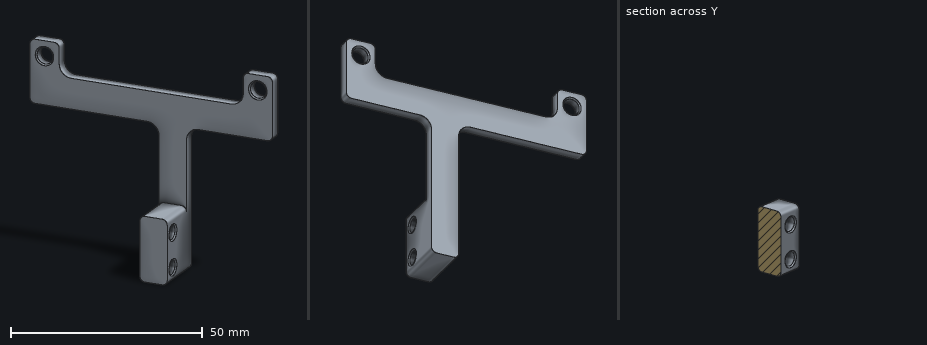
import cadquery as cq

plate_width = 70.0
overall_depth = 14.85
overall_height = 57.78

plate_thickness = 3.175
ear_width = 8.5
ear_height = 9.22
crossbar_height = 8.6
stem_width = 7.95
stem_offset = 6.2

block_height = 18.25

outer_radius = 1.5
inner_radius = 3.45

ear_hole_diameter = 4.57
ear_hole_inset = ear_width / 2
block_hole_diameter = 3.91
block_hole_spacing = 9.65
block_hole_inset = 3.5
lower_block_hole_height = 4.0
hole_chamfer = 0.38

half_width = plate_width / 2
plate_front_y = -plate_thickness
block_front_y = -overall_depth
notch_z = overall_height - ear_height
crossbar_bottom_z = notch_z - crossbar_height
stem_left_x = stem_offset - stem_width / 2
stem_right_x = stem_offset + stem_width / 2
notch_half_width = half_width - ear_width


def round_corners(body, corners, radius):
    """Round the edges parallel to Y at the given (x, z) corners."""
    reach = 0.01
    for x, z in corners:
        selector = cq.selectors.BoxSelector(
            (x - reach, -overall_depth, z - reach),
            (x + reach, overall_depth, z + reach),
        )
        body = body.edges("|Y").edges(selector).fillet(radius)
    return body


def make_plate():
    """T-shaped plate with rounded outer corners and larger inner fillets."""
    ear_outer_corners = [(-half_width, overall_height), (half_width, overall_height)]
    ear_inner_corners = [(-notch_half_width, overall_height), (notch_half_width, overall_height)]
    notch_corners = [(-notch_half_width, notch_z), (notch_half_width, notch_z)]
    bar_corners = [(-half_width, crossbar_bottom_z), (half_width, crossbar_bottom_z)]
    stem_roots = [(stem_left_x, crossbar_bottom_z), (stem_right_x, crossbar_bottom_z)]
    stem_ends = [(stem_left_x, 0), (stem_right_x, 0)]

    left_side = [
        ear_inner_corners[0],
        ear_outer_corners[0],
        bar_corners[0],
        stem_roots[0],
        stem_ends[0],
    ]
    right_side = [
        stem_ends[1],
        stem_roots[1],
        bar_corners[1],
        ear_outer_corners[1],
        ear_inner_corners[1],
    ]
    outline = [notch_corners[0]] + left_side + right_side + [notch_corners[1]]
    plate = cq.Workplane("XZ").polyline(outline).close().extrude(plate_thickness)

    outer_corners = ear_outer_corners + ear_inner_corners + bar_corners + stem_ends
    plate = round_corners(plate, outer_corners, outer_radius)
    return round_corners(plate, notch_corners + stem_roots, inner_radius)


def make_block():
    """Round-cornered block running from the plate's back face to the full depth."""
    return (
        cq.Workplane("XZ")
        .center(stem_offset, block_height / 2)
        .rect(stem_width, block_height)
        .extrude(overall_depth)
        .edges("|Y")
        .fillet(outer_radius)
    )


def make_hole(diameter, length, entry, direction):
    """Cutter for a through hole with a conical chamfer at both ends."""
    radius = diameter / 2
    mouth_radius = radius + hole_chamfer
    start = cq.Vector(*entry)
    axis = cq.Vector(*direction)
    exit_start = start + axis * (length - hole_chamfer)
    bore = cq.Solid.makeCylinder(radius, length, start, axis)
    entry_chamfer = cq.Solid.makeCone(mouth_radius, radius, hole_chamfer, start, axis)
    exit_chamfer = cq.Solid.makeCone(radius, mouth_radius, hole_chamfer, exit_start, axis)
    return bore.fuse(entry_chamfer, exit_chamfer)


def cut_ear_holes(body):
    """One hole through each ear, chamfered on both faces of the plate."""
    hole_z = overall_height - ear_hole_inset
    for side in (-1, 1):
        entry = (side * (half_width - ear_hole_inset), plate_front_y, hole_z)
        body = body.cut(make_hole(ear_hole_diameter, plate_thickness, entry, (0, 1, 0)))
    return body


def cut_block_holes(body):
    """Two cross holes through the block, chamfered on both sides."""
    hole_y = block_front_y + block_hole_inset
    for index in range(2):
        hole_z = lower_block_hole_height + index * block_hole_spacing
        entry = (stem_left_x, hole_y, hole_z)
        body = body.cut(make_hole(block_hole_diameter, stem_width, entry, (1, 0, 0)))
    return body


result = cut_block_holes(cut_ear_holes(make_plate().union(make_block())))